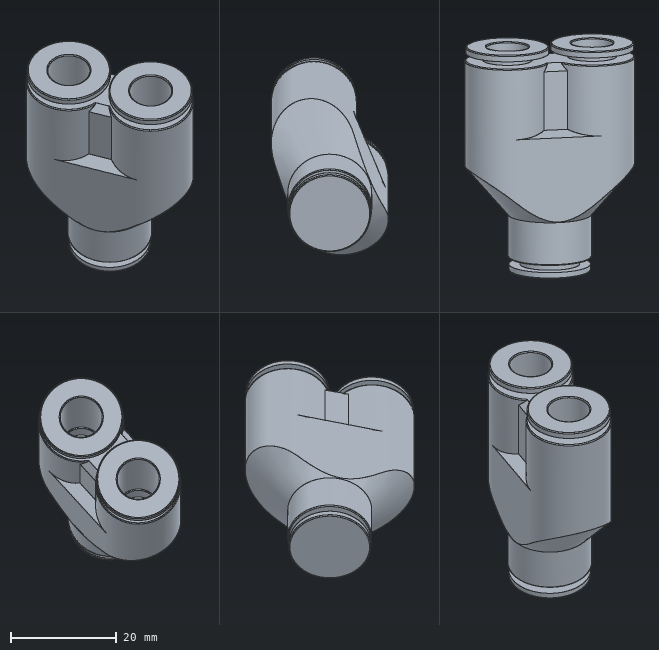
import cadquery as cq

TOTAL_HEIGHT = 44.0
BRANCH_DIAMETER = 16.25
BRANCH_SPACING = 16.5
EDGE_CHAMFER = 0.2

FLANGE_THICKNESS = 1.25
COLLAR_HEIGHT = 2.65
UPPER_FLANGE_DIAMETER = 15.85
UPPER_NECK_DIAMETER = 9.4
LOWER_FLANGE_DIAMETER = 15.6
LOWER_NECK_DIAMETER = 11.4

SOCKET_DIAMETER = 8.0
SOCKET_DEPTH = 18.0
BORE_DIAMETER = 7.5
BORE_DEPTH = 22.0

STEM_DIAMETER = 16.0
CONE_BASE_Z = 11.0
CONE_END_Z = 20.75

WEB_THICKNESS = 11.0
WEB_TOP_CHAMFER = 1.4
FLAT_TOP_Z = 27.55
WEB_FOOT_Z = 28.55

BODY_TOP_Z = TOTAL_HEIGHT - COLLAR_HEIGHT
BODY_BOTTOM_Z = COLLAR_HEIGHT
BRANCH_CENTERS = [(-BRANCH_SPACING / 2, 0), (BRANCH_SPACING / 2, 0)]
HALF_LENGTH = (BRANCH_SPACING + BRANCH_DIAMETER) / 2


def cylinder(diameter, bottom_z, top_z, centers=((0, 0),)):
    """Upright cylinders between two heights, one on each center."""
    return (
        cq.Workplane("XY", origin=(0, 0, bottom_z))
        .pushPoints(centers)
        .circle(diameter / 2)
        .extrude(top_z - bottom_z)
    )


def make_branch(center):
    """One upper tube with a broken top edge."""
    tube = cylinder(BRANCH_DIAMETER, CONE_BASE_Z, BODY_TOP_Z, [center])
    return tube.faces(">Z").edges().chamfer(EDGE_CHAMFER)


def make_branches():
    """The two upper tubes, from the foot of the cone to the body top."""
    left_tube, right_tube = (make_branch(center) for center in BRANCH_CENTERS)
    return left_tube.union(right_tube)


def make_bridge():
    """Flat-sided block between the branches that steps in to the thinner web."""
    half_depth = BRANCH_DIAMETER / 2
    half_web = WEB_THICKNESS / 2
    half_profile = [
        (half_depth, CONE_BASE_Z),
        (half_depth, FLAT_TOP_Z),
        (half_web, WEB_FOOT_Z),
        (half_web, BODY_TOP_Z - WEB_TOP_CHAMFER),
        (half_web - WEB_TOP_CHAMFER, BODY_TOP_Z),
    ]
    mirrored = [(-y, z) for y, z in reversed(half_profile)]
    return (
        cq.Workplane("YZ")
        .polyline(half_profile + mirrored)
        .close()
        .extrude(BRANCH_SPACING / 2, both=True)
    )


def make_cone_envelope():
    """Cone widening to the full body length, continued upward as a cylinder."""
    half_profile = [
        (0, CONE_BASE_Z),
        (STEM_DIAMETER / 2, CONE_BASE_Z),
        (HALF_LENGTH, CONE_END_Z),
        (HALF_LENGTH, BODY_TOP_Z),
        (0, BODY_TOP_Z),
    ]
    return cq.Workplane("XZ").polyline(half_profile).close().revolve(360, (0, 0), (0, 1))


def make_stem():
    """Lower cylinder with a broken bottom edge."""
    stem = cylinder(STEM_DIAMETER, BODY_BOTTOM_Z, CONE_BASE_Z)
    return stem.faces("<Z").edges().chamfer(EDGE_CHAMFER)


def make_flange(diameter, bottom_z, outer_face, centers=((0, 0),)):
    """Collar flanges with a chamfer around the outer face."""
    flange = cylinder(diameter, bottom_z, bottom_z + FLANGE_THICKNESS, centers)
    return flange.faces(outer_face).edges().chamfer(EDGE_CHAMFER)


def make_collars():
    """Two collars on the branches and one under the stem."""
    upper_flange_z = TOTAL_HEIGHT - FLANGE_THICKNESS
    upper_necks = cylinder(UPPER_NECK_DIAMETER, BODY_TOP_Z, upper_flange_z, BRANCH_CENTERS)
    upper_flanges = make_flange(UPPER_FLANGE_DIAMETER, upper_flange_z, ">Z", BRANCH_CENTERS)
    lower_neck = cylinder(LOWER_NECK_DIAMETER, FLANGE_THICKNESS, BODY_BOTTOM_Z)
    lower_flange = make_flange(LOWER_FLANGE_DIAMETER, 0, "<Z")
    return upper_necks.union(upper_flanges).union(lower_neck).union(lower_flange)


def make_mouth(center):
    """Cone that chamfers the edge of one socket."""
    return (
        cq.Workplane("XY", origin=(0, 0, TOTAL_HEIGHT))
        .center(*center)
        .circle(SOCKET_DIAMETER / 2 + EDGE_CHAMFER)
        .workplane(offset=-EDGE_CHAMFER)
        .circle(SOCKET_DIAMETER / 2)
        .loft(ruled=True)
    )


def make_ports():
    """Space inside the upper ports: mouth, socket and blind bore of each."""
    sockets = cylinder(SOCKET_DIAMETER, TOTAL_HEIGHT - SOCKET_DEPTH, TOTAL_HEIGHT, BRANCH_CENTERS)
    bores = cylinder(BORE_DIAMETER, TOTAL_HEIGHT - BORE_DEPTH, TOTAL_HEIGHT, BRANCH_CENTERS)
    ports = sockets.union(bores)
    for center in BRANCH_CENTERS:
        ports = ports.union(make_mouth(center))
    return ports


body = make_branches().union(make_bridge()).intersect(make_cone_envelope())
result = body.union(make_stem()).union(make_collars()).cut(make_ports())